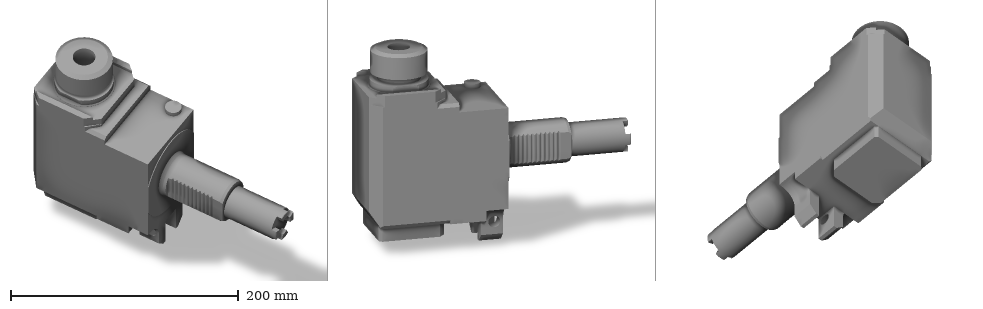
import cadquery as cq
import math


BODY_WIDTH = 76.0
BODY_LENGTH = 124.5
BODY_TOP = 47.0
BODY_BOTTOM = -55.8
BODY_CORNER = 9.7
STEP_TOP = 55.0
STEP_LENGTH = 79.8
STEP_BEVEL = 3.0
SEAT_TOP = 58.0
SEAT_BOTTOM = 52.1
HEAD_LENGTH = 69.9
SEAT_CORNER = 10.2
BEVEL_START = -41.5
BEVEL_RUN = 9.2
LOWER_BEVEL_WIDTH = 3.0
LOWER_BEVEL_HEIGHT = 3.6
LOWER_BEVEL_END = 71.3

PLATE_TOP = 64.8
PLATE_CORNER_X = 12.0
PLATE_CORNER_Y = 10.7
RAIL_TOP = 68.2
RAIL_INNER_Y = 32.3

SPINDLE_X = HEAD_LENGTH / 2
RING_RADIUS = 27.7
RING_HEIGHT = 0.5
RING_CHAMFER = 0.36
COLLAR_TOP = 71.0
COLLAR_RADIUS = 26.0
COLLAR_FLAT_Y = 23.0
COLLAR_LIP_Y = 24.0
COLLAR_LIP_BOTTOM = 69.5
GROOVE_RADIUS = 19.2
GROOVE_TOP = 72.8
NECK_RADIUS = 20.0
NUT_BOTTOM = 77.1
NUT_RADIUS = 25.2
NUT_SHOULDER = 97.5
NUT_TOP = 99.7
NUT_FACE_RADIUS = 20.9
BORE_RADIUS = 10.0

BUTTON_X = 109.6
BUTTON_Y = 28.1
BUTTON_RADIUS = 7.3
BUTTON_HEIGHT = 4.4

BLOCK_START = 9.5
BLOCK_HALF_WIDTH = 28.1
BLOCK_BOTTOM = -69.9
BLOCK_BACK_CORNER = 2.7
BLOCK_FRONT_CORNER = 5.3

FOOT_LENGTH = 20.1
FOOT_TOP = -46.3
FOOT_BOTTOM = -82.0
FOOT_HALF_WIDTH = 19.6
FOOT_FILLET = 15.5
FOOT_CHAMFER = 7.3
FOOT_SLOT_WIDTH = 17.7
FOOT_HOLE_X = 116.5
FOOT_HOLE_Z = -63.0
FOOT_HOLE_RADIUS = 5.3

PAD_RADIUS = 41.5
PAD_THICKNESS = 0.7
SEAL_END = 126.1
SEAL_RADIUS = 21.0
SHANK_START = 128.5
SHANK_DIAMETER = 40.0
SHANK_RADIUS = SHANK_DIAMETER / 2
SHANK_TAPER_START = 185.0
SHANK_END = 187.7
SHANK_END_RADIUS = 19.2
RELIEF_RADIUS = 11.6
RELIEF_WIDTH = 1.2
RACK_START = 131.7
RACK_FLAT_Y = -15.8
TOOTH_COUNT = 11
RACK_SPAN = 40.0
TOOTH_PITCH = RACK_SPAN / (TOOTH_COUNT - 1)
FIRST_TOOTH_X = 136.3
TOOTH_DEPTH = 1.2
TOOTH_WIDTH = 3.0

TOTAL_LENGTH = 242.5
DRIVE_RADIUS = 15.0
DRIVE_CHAMFER = 0.5
DOG_COUNT = 4
DOG_LENGTH = 5.0
DOG_HALF_WIDTH = 5.0
DOG_INNER_RADIUS = 9.0

HALF_WIDTH = BODY_WIDTH / 2


def slab(x_range, y_range, z_range):
    """Box given by its limits along each axis."""
    size = [high - low for low, high in (x_range, y_range, z_range)]
    corner = cq.Vector(x_range[0], y_range[0], z_range[0])
    return cq.Workplane(cq.Solid.makeBox(*size, corner))


def disc(x, y, radius, bottom, top):
    """Upright cylinder."""
    return cq.Workplane("XY", origin=(x, y, bottom)).circle(radius).extrude(top - bottom)


def make_housing():
    """Stepped block with cut back corners, bevelled edges and a pocket for the foot."""
    profile = [
        (0, SEAT_TOP),
        (HEAD_LENGTH, SEAT_TOP),
        (HEAD_LENGTH, STEP_TOP),
        (STEP_LENGTH, STEP_TOP),
        (STEP_LENGTH, BODY_TOP),
        (BODY_LENGTH, BODY_TOP),
        (BODY_LENGTH, BODY_BOTTOM),
        (BEVEL_RUN, BODY_BOTTOM),
        (0, BEVEL_START),
    ]
    housing = cq.Workplane("XZ").polyline(profile).close().extrude(HALF_WIDTH, both=True)
    head_block = slab((0, HEAD_LENGTH), (-HALF_WIDTH, HALF_WIDTH), (SEAT_BOTTOM, SEAT_TOP))
    seat = head_block.edges("|Z").edges(">X").chamfer(SEAT_CORNER)
    head_top = slab((0, HEAD_LENGTH), (-HALF_WIDTH, HALF_WIDTH), (STEP_TOP, SEAT_TOP))
    housing = housing.cut(head_top.cut(seat))
    for side in (-1, 1):
        outer = side * HALF_WIDTH
        back_corner = [(0, outer), (BODY_CORNER, outer), (0, outer - side * BODY_CORNER)]
        housing = housing.cut(
            cq.Workplane("XY", origin=(0, 0, BODY_BOTTOM)).polyline(back_corner).close()
            .extrude(SEAT_TOP - BODY_BOTTOM)
        )

        bevel_section = [
            (outer, SEAT_BOTTOM),
            (outer - side * STEP_BEVEL, STEP_TOP),
            (outer - side * STEP_BEVEL, SEAT_TOP),
            (outer, SEAT_TOP),
        ]
        bevel = (
            cq.Workplane("YZ", origin=(SPINDLE_X, 0, 0)).polyline(bevel_section).close()
            .extrude(STEP_LENGTH - SPINDLE_X)
        )
        housing = housing.cut(bevel.cut(seat))

        lower_section = [
            (outer, BODY_BOTTOM),
            (outer - side * LOWER_BEVEL_WIDTH, BODY_BOTTOM),
            (outer, BODY_BOTTOM + LOWER_BEVEL_HEIGHT),
        ]
        housing = housing.cut(
            cq.Workplane("YZ").polyline(lower_section).close().extrude(LOWER_BEVEL_END)
        )
    foot_pocket = slab(
        (BODY_LENGTH - FOOT_LENGTH, BODY_LENGTH), (-HALF_WIDTH, HALF_WIDTH), (BODY_BOTTOM, FOOT_TOP)
    )
    return housing.cut(foot_pocket)


def make_cover_plate():
    """Plate with cut corners and a rail along each side."""
    start_x = PLATE_CORNER_X
    end_x = HEAD_LENGTH - PLATE_CORNER_X
    flat_y = HALF_WIDTH - PLATE_CORNER_Y
    outline = [
        (start_x, -HALF_WIDTH),
        (end_x, -HALF_WIDTH),
        (HEAD_LENGTH, -flat_y),
        (HEAD_LENGTH, flat_y),
        (end_x, HALF_WIDTH),
        (start_x, HALF_WIDTH),
        (0, flat_y),
        (0, -flat_y),
    ]
    channel = slab((0, HEAD_LENGTH), (-RAIL_INNER_Y, RAIL_INNER_Y), (PLATE_TOP, RAIL_TOP))
    return (
        cq.Workplane("XY", origin=(0, 0, SEAT_TOP)).polyline(outline).close()
        .extrude(RAIL_TOP - SEAT_TOP)
        .cut(channel)
    )


def make_spindle():
    """Spindle with a flatted collar, a base ring and a bored clamping nut."""
    profile = [
        (0, PLATE_TOP),
        (COLLAR_RADIUS, PLATE_TOP),
        (COLLAR_RADIUS, COLLAR_TOP),
        (GROOVE_RADIUS, COLLAR_TOP),
        (GROOVE_RADIUS, GROOVE_TOP),
        (NECK_RADIUS, GROOVE_TOP),
        (NECK_RADIUS, NUT_BOTTOM),
        (NUT_RADIUS, NUT_BOTTOM),
        (NUT_RADIUS, NUT_SHOULDER),
        (NUT_FACE_RADIUS, NUT_TOP),
        (0, NUT_TOP),
    ]
    spindle = cq.Workplane("XZ").polyline(profile).close().revolve(360, (0, 0), (0, 1))
    reach = COLLAR_RADIUS
    for side in (-1, 1):
        for flat, top in ((COLLAR_FLAT_Y, COLLAR_LIP_BOTTOM), (COLLAR_LIP_Y, COLLAR_TOP)):
            y_range = sorted((side * flat, side * reach))
            spindle = spindle.cut(slab((-reach, reach), y_range, (PLATE_TOP, top)))
    bore = disc(0, 0, BORE_RADIUS, NUT_BOTTOM, NUT_TOP)
    ring = disc(0, 0, RING_RADIUS, PLATE_TOP, PLATE_TOP + RING_HEIGHT)
    ring = ring.faces(">Z").chamfer(RING_CHAMFER)
    return spindle.cut(bore).union(ring).translate((SPINDLE_X, 0, 0))


def make_block():
    """Rectangular block with cut corners below the head."""
    width = 2 * BLOCK_HALF_WIDTH
    length = HEAD_LENGTH - BLOCK_START
    return (
        cq.Workplane("XY", origin=(BLOCK_START + length / 2, 0, BLOCK_BOTTOM))
        .rect(length, width).extrude(BODY_BOTTOM - BLOCK_BOTTOM)
        .edges("|Z and <X").chamfer(BLOCK_BACK_CORNER)
        .edges("|Z and >X").chamfer(BLOCK_FRONT_CORNER)
    )


def make_foot():
    """Slotted foot whose sides blend upwards into the housing."""
    blend_y = FOOT_HALF_WIDTH + FOOT_FILLET
    blend_z = FOOT_TOP - FOOT_FILLET
    arc_y = blend_y - FOOT_FILLET * math.cos(math.pi / 4)
    arc_z = blend_z + FOOT_FILLET * math.sin(math.pi / 4)
    foot_x = BODY_LENGTH - FOOT_LENGTH
    tip_y = FOOT_HALF_WIDTH - FOOT_CHAMFER
    chamfer_top = FOOT_BOTTOM + FOOT_CHAMFER
    foot = (
        cq.Workplane("YZ", origin=(foot_x, 0, 0))
        .moveTo(-blend_y, FOOT_TOP)
        .threePointArc((-arc_y, arc_z), (-FOOT_HALF_WIDTH, blend_z))
        .lineTo(-FOOT_HALF_WIDTH, chamfer_top)
        .lineTo(-tip_y, FOOT_BOTTOM)
        .lineTo(tip_y, FOOT_BOTTOM)
        .lineTo(FOOT_HALF_WIDTH, chamfer_top)
        .lineTo(FOOT_HALF_WIDTH, blend_z)
        .threePointArc((arc_y, arc_z), (blend_y, FOOT_TOP))
        .close().extrude(FOOT_LENGTH)
    )
    slot_half = FOOT_SLOT_WIDTH / 2
    slot = slab((foot_x, BODY_LENGTH), (-slot_half, slot_half), (FOOT_BOTTOM, BODY_BOTTOM))
    hole = (
        cq.Workplane("XZ", origin=(FOOT_HOLE_X, 0, FOOT_HOLE_Z))
        .circle(FOOT_HOLE_RADIUS).extrude(blend_y)
    )
    return foot.cut(slot).cut(hole)


def make_shank():
    """Turned shank and drive shaft on a thin pad clipped to the housing width."""
    pad_end = BODY_LENGTH + PAD_THICKNESS
    relief_end = SHANK_END + RELIEF_WIDTH
    profile = [
        (BODY_LENGTH, 0),
        (BODY_LENGTH, PAD_RADIUS),
        (pad_end, PAD_RADIUS),
        (pad_end, SEAL_RADIUS),
        (SEAL_END, SEAL_RADIUS),
        (SHANK_START, SHANK_RADIUS),
        (SHANK_TAPER_START, SHANK_RADIUS),
        (SHANK_END, SHANK_END_RADIUS),
        (SHANK_END, RELIEF_RADIUS),
        (relief_end, RELIEF_RADIUS),
        (relief_end, DRIVE_RADIUS),
        (TOTAL_LENGTH - DRIVE_CHAMFER, DRIVE_RADIUS),
        (TOTAL_LENGTH, DRIVE_RADIUS - DRIVE_CHAMFER),
        (TOTAL_LENGTH, 0),
    ]
    shank = cq.Workplane("XY").polyline(profile).close().revolve(360, (0, 0), (1, 0))
    within_width = slab(
        (BODY_LENGTH, TOTAL_LENGTH), (-HALF_WIDTH, HALF_WIDTH), (-PAD_RADIUS, PAD_RADIUS)
    )
    return shank.intersect(within_width).cut(make_rack_cut()).cut(make_dog_cut())


def make_rack_cut():
    """Flat on the -Y side of the shank with V grooves across it."""
    z_range = (-SHANK_RADIUS, SHANK_RADIUS)
    cut = slab((RACK_START, SHANK_END), (-SHANK_RADIUS, RACK_FLAT_Y), z_range)
    for index in range(TOOTH_COUNT):
        center = FIRST_TOOTH_X + index * TOOTH_PITCH
        groove = [
            (center - TOOTH_WIDTH / 2, RACK_FLAT_Y),
            (center, RACK_FLAT_Y + TOOTH_DEPTH),
            (center + TOOTH_WIDTH / 2, RACK_FLAT_Y),
        ]
        cut = cut.union(
            cq.Workplane("XY").polyline(groove).close().extrude(SHANK_RADIUS, both=True)
        )
    return cut


def make_dog_cut():
    """End recess that leaves driving dogs with radial sides."""
    plane = cq.Workplane("YZ", origin=(TOTAL_LENGTH - DOG_LENGTH, 0, 0))
    cut = plane.circle(DRIVE_RADIUS).extrude(DOG_LENGTH)
    half_angle = math.asin(DOG_HALF_WIDTH / DRIVE_RADIUS)
    reach = 2 * DRIVE_RADIUS
    tip_y = reach * math.cos(half_angle)
    tip_z = reach * math.sin(half_angle)
    sector = plane.polyline([(0, 0), (tip_y, -tip_z), (tip_y, tip_z)]).close().extrude(DOG_LENGTH)
    sector = sector.cut(plane.circle(DOG_INNER_RADIUS).extrude(DOG_LENGTH))
    for index in range(DOG_COUNT):
        cut = cut.cut(sector.rotate((0, 0, 0), (1, 0, 0), index * 360 / DOG_COUNT))
    return cut


button = disc(BUTTON_X, BUTTON_Y, BUTTON_RADIUS, BODY_TOP, BODY_TOP + BUTTON_HEIGHT)

result = (
    make_housing()
    .union(make_foot())
    .union(make_cover_plate())
    .union(make_spindle())
    .union(button)
    .union(make_block())
    .union(make_shank())
)